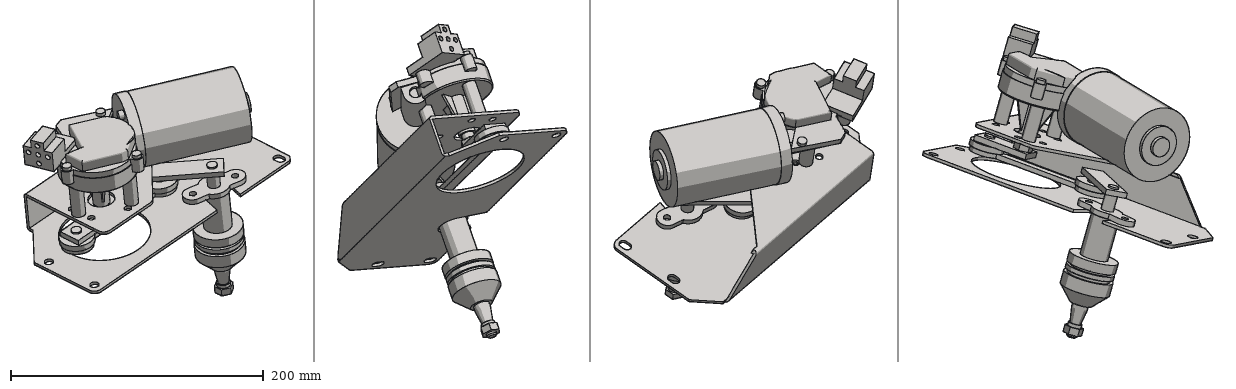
import cadquery as cq
import math


TILT_X, TILT_Y, TILT_Z = -9.8, -15.1, 11.6
INSTALLED_AT = (18.7, 0.7, -2.8)

SHEET = 2.5
BASE_RIGHT = 33.5
BASE_HALF_LENGTH = 113.8
WALL_OUTER = -70.8
WALL_INNER = WALL_OUTER + SHEET
NEAR_END = -83.2
FLANGE_TOP = 33.5
FLANGE_RIGHT = 18.0
FLANGE_CORNER = (FLANGE_RIGHT, -28.0)
WALL_FAR_BOTTOM = 94.0
WALL_FAR_TOP = 61.7
BASE_FAR_CUT_X = -47.5
BASE_NEAR_CUT_X = -33.9
CORNER_RADIUS = 6.5
BEND_RADIUS = 3.0
BEND_STRIP = 4.7
MOUNT_X, MOUNT_Y = 25.0, 106.0
MOUNT_HOLE = 7.2
MOUNT_SLOT = 10.5

GEAR_X, GEAR_Y = -16.5, -51.0
CUTOUT_RADIUS = 36.7
HOUSING_RADIUS = 32.2
HOUSING_BOTTOM = 62.4
LID_BOTTOM = 77.3
LID_TOP = 82.5
COVER_TOP = 92.3
POST_CIRCLE = 25.0
POST_RADIUS = 5.5
POST_ANGLES = (28, 148, 268)
SPARE_HOLE_CIRCLE = 25.7
SPARE_HOLE_OFFSETS = (-19, 28)
SPARE_HOLE = 5.8
HUB_RADIUS = 6.8
HUB_BOTTOM = 30.4
HUB_CLEARANCE_RADIUS = 10.7
RIB_REACH = 19.2
RIB_THICKNESS = 1.9
EAR_CENTRES = ((15.6, -38.3), (-17.0, -84.0), (-49.8, -65.2))
EAR_RADIUS = 5.0
EAR_BOTTOM = 70.0
LID_SCREW = (-46.2, -15.0)
SCREW_RADIUS = 3.7
SCREW_HEIGHT = 3.0

MOTOR_ANGLE = 60.0
MOTOR_SIDE_OFFSET = 19.2
MOTOR_AXIS_HEIGHT = 70.0
MOTOR_RADIUS = 31.3
MOTOR_FRONT = -22.5
MOTOR_REAR = 74.7
CAP_LENGTH = 9.3
CAP_STEP = 0.5
BEARING_SEAT_RADIUS = 16.4
BEARING_SEAT_LENGTH = 3.0
BEARING_RADIUS = 8.0
BEARING_LENGTH = 3.3
CAP_SCREW_X, CAP_SCREW_Y = 8.0, 22.7
CAP_SCREW_HEIGHT = 4.7
WORM_RADIUS = 9.8
WORM_BORE_RADIUS = 4.7
WORM_BORE_DEPTH = 3.5
WORM_END = -71.2

CONNECTOR_CORNER = (-49.3, -99.0)
CONNECTOR_ANGLE = 15.6
CONNECTOR_WIDTH = 26.2
CONNECTOR_BOTTOM = 80.5
CONNECTOR_TOP = 99.0
CONNECTOR_LENGTH = 20.3
KEY_WIDTH = 11.5
KEY_HEIGHT = 7.5
STEP_LENGTH = 38.8
STEP_HEIGHT = 6.5
PIN_SPACING = 8.6
PIN_ROW_DEPTH = 5.4
PIN_RADIUS = 2.0
PIN_DEPTH = 3.5

SPINDLE_X, SPINDLE_Y = 12.4, 44.8
SPINDLE_ANGLE = 75.0
SHAFT_RADIUS = 5.1
TUBE_RADIUS = 11.5
NUT_ACROSS_CORNERS = 15.5
NUT_BOTTOM = -99.5
NUT_TOP = -93.5
NOTCH_WIDTH = 25.7
LUG_OFFSET = 19.6
LUG_RADIUS = 8.5
LUG_HOLE = 5.5
SPINDLE_FLANGE_HEIGHT = 4.5
LEVER_ANGLE = 225.0
LEVER_WIDTH = 18.2
LEVER_LENGTH = 51.5
LEVER_BOTTOM = 18.5
LEVER_TOP = 23.0
CRANK_RADIUS = 30.1
CRANK_WIDTH = 20.0
CRANK_BOTTOM = 14.7
CRANK_TOP = 19.5
CRANK_OVERHANG = 8.5
CRANK_NUT_HEIGHT = 5.5
PIN_HEAD_RADIUS = 4.2
PIN_HEAD_HEIGHT = 1.5
BALL_CUP_RADIUS = 14.2
BALL_CUP_STEP = 1.2
BALL_CUP_BOTTOM = 9.8
LINK_WIDTH = 10.5
LINK_BOTTOM = 5.8


def polar(centre, radius, angle):
    """Point at a radius and angle (degrees) from a centre."""
    a = math.radians(angle)
    return (centre[0] + radius * math.cos(a), centre[1] + radius * math.sin(a))


def heading(start, end):
    """Direction in degrees from one point to another."""
    return math.degrees(math.atan2(end[1] - start[1], end[0] - start[0]))


def rod(centre, radius, bottom, top):
    """Upright cylinder between two heights."""
    return cq.Workplane("XY", origin=(*centre, bottom)).circle(radius).extrude(top - bottom)


def hexagon(centre, across_corners, bottom, top):
    """Upright hexagonal prism between two heights."""
    return cq.Workplane("XY", origin=(*centre, bottom)).polygon(6, across_corners).extrude(top - bottom)


def plate(points, bottom, top):
    """Upright prism over a closed polygon."""
    return cq.Workplane("XY", origin=(0, 0, bottom)).polyline(points).close().extrude(top - bottom)


def bar(start, length, width, angle, bottom, top, overhang):
    """Flat bar from a pivot to a point at the given length and angle, with square overhanging ends."""
    shape = cq.Workplane("XY").box(length + 2 * overhang, width, top - bottom, centered=(False, True, False))
    shape = shape.translate((-overhang, 0, 0)).rotate((0, 0, 0), (0, 0, 1), angle)
    return shape.translate((*start, bottom))


GEAR = (GEAR_X, GEAR_Y)
SPINDLE = (SPINDLE_X, SPINDLE_Y)
CRANK_PIN = polar(GEAR, CRANK_RADIUS, -90)
LEVER_OVERHANG = LEVER_WIDTH / 2
LEVER_PIN = polar(SPINDLE, LEVER_LENGTH - LEVER_OVERHANG, LEVER_ANGLE)


def bracket_base():
    far_cut = WALL_FAR_BOTTOM + SHEET
    near_cut_x = BASE_NEAR_CUT_X - (BASE_HALF_LENGTH + NEAR_END)
    outline = [
        (BASE_RIGHT, -BASE_HALF_LENGTH),
        (BASE_RIGHT, BASE_HALF_LENGTH),
        (BASE_FAR_CUT_X, BASE_HALF_LENGTH),
        (WALL_INNER, far_cut),
        (WALL_INNER, NEAR_END),
        (near_cut_x, NEAR_END),
        (BASE_NEAR_CUT_X, -BASE_HALF_LENGTH),
    ]
    base = plate(outline, -SHEET, 0).edges("|Z and >X").fillet(CORNER_RADIUS)
    top = base.faces(">Z").workplane(origin=(0, 0, 0))
    base = top.pushPoints([(MOUNT_X, -MOUNT_Y), (-MOUNT_X, -MOUNT_Y)]).hole(MOUNT_HOLE)
    top = base.faces(">Z").workplane(origin=(0, 0, 0))
    base = top.pushPoints([(MOUNT_X, MOUNT_Y), (-MOUNT_X, MOUNT_Y)]).slot2D(MOUNT_SLOT, MOUNT_HOLE).cutThruAll()
    return base.cut(rod(GEAR, CUTOUT_RADIUS, -SHEET, 0))


def bracket_bend():
    """C-shaped bent strip along the left side, its far end cut back at a slant."""
    length = WALL_FAR_BOTTOM - NEAR_END
    height = FLANGE_TOP + SHEET
    outer = cq.Workplane("XY").box(BEND_STRIP, length, height, centered=False).edges("|Y and <X").fillet(BEND_RADIUS)
    inner = cq.Workplane("XY", origin=(SHEET, 0, SHEET)).box(
        BEND_STRIP, length, height - 2 * SHEET, centered=False
    )
    strip = outer.cut(inner).translate((WALL_OUTER, NEAR_END, -SHEET))
    slant = [(WALL_FAR_BOTTOM, -SHEET), (WALL_FAR_TOP, FLANGE_TOP), (WALL_FAR_BOTTOM, FLANGE_TOP)]
    waste = cq.Workplane("YZ", origin=(WALL_OUTER, 0, 0)).polyline(slant).close().extrude(BEND_STRIP)
    return strip.cut(waste)


def bracket_flange():
    bend_end = WALL_OUTER + BEND_STRIP
    outline = [
        (bend_end, NEAR_END),
        (FLANGE_RIGHT, NEAR_END),
        FLANGE_CORNER,
        (bend_end, WALL_FAR_TOP - BEND_STRIP),
    ]
    flange = plate(outline, FLANGE_TOP - SHEET, FLANGE_TOP)
    flange = flange.edges("|Z and >X").fillet(CORNER_RADIUS)
    flange = flange.cut(rod(GEAR, HUB_CLEARANCE_RADIUS, FLANGE_TOP - SHEET, FLANGE_TOP))
    for post in POST_ANGLES:
        for offset in SPARE_HOLE_OFFSETS:
            centre = polar(GEAR, SPARE_HOLE_CIRCLE, post + offset)
            flange = flange.cut(rod(centre, SPARE_HOLE / 2, FLANGE_TOP - SHEET, FLANGE_TOP))
    return flange


def bracket():
    return bracket_base().union(bracket_flange()).union(bracket_bend())


def spindle_notch():
    """Open-ended slot that lets the spindle tube through the edge of the base."""
    reach = 2 * (BASE_RIGHT - SPINDLE_X)
    slot = bar(SPINDLE, reach, NOTCH_WIDTH, SPINDLE_ANGLE - 90, -SHEET, 0, 0)
    return slot.union(rod(SPINDLE, NOTCH_WIDTH / 2, -SHEET, 0))


def gear_ribs():
    """Triangular webs between the hub and the underside of the housing, midway between the posts."""
    rib_bottom = HUB_BOTTOM + 4.7
    profile = [(0, rib_bottom), (HUB_RADIUS, rib_bottom), (RIB_REACH, HOUSING_BOTTOM), (0, HOUSING_BOTTOM)]
    web = cq.Workplane("XZ").polyline(profile).close().extrude(RIB_THICKNESS / 2, both=True)
    ribs = cq.Workplane("XY")
    for post in POST_ANGLES:
        ribs = ribs.union(web.rotate((0, 0, 0), (0, 0, 1), post + 60).translate((*GEAR, 0)))
    return ribs


def gear_cover():
    """Raised flat cover on the lid, with a rounded top edge."""
    cover = (
        cq.Workplane("XY", origin=(0, 0, LID_TOP))
        .moveTo(-32.2, -23.4)
        .threePointArc((-16.0, -18.2), (1.6, -25.0))
        .lineTo(13.3, -45.3)
        .lineTo(12.1, -50.5)
        .lineTo(-4.2, -79.5)
        .lineTo(-22.5, -79.5)
        .lineTo(-18.7, -65.2)
        .lineTo(-23.0, -62.8)
        .lineTo(-47.5, -49.5)
        .close()
        .extrude(COVER_TOP - LID_TOP)
    )
    return cover.faces(">Z").edges().fillet(2.0)


def gearbox():
    body = rod(GEAR, HOUSING_RADIUS, HOUSING_BOTTOM, LID_BOTTOM)
    body = body.faces("<Z").edges().chamfer(1.2)
    body = body.union(rod(GEAR, HOUSING_RADIUS - 0.7, LID_BOTTOM, LID_TOP))
    worm_lid = [(-44.0, -4.0), (-66.0, -40.0), (-63.8, -48.1), (-46.7, -56.0), GEAR]
    body = body.union(plate(worm_lid, LID_BOTTOM, LID_TOP))
    body = body.union(gear_cover())
    body = body.union(rod(GEAR, HUB_RADIUS, HUB_BOTTOM, HOUSING_BOTTOM)).union(gear_ribs())
    for angle in POST_ANGLES:
        body = body.union(rod(polar(GEAR, POST_CIRCLE, angle), POST_RADIUS, FLANGE_TOP, HOUSING_BOTTOM + 2.3))
    for centre in EAR_CENTRES:
        reach = math.dist(centre, GEAR)
        body = body.union(bar(centre, reach, 2 * EAR_RADIUS, heading(centre, GEAR), EAR_BOTTOM, LID_TOP, 0))
        body = body.union(rod(centre, EAR_RADIUS, EAR_BOTTOM, LID_TOP))
    for centre in EAR_CENTRES + (LID_SCREW,):
        body = body.union(rod(centre, SCREW_RADIUS, LID_TOP, LID_TOP + SCREW_HEIGHT))
    return body


def motor_section(along):
    """Plane across the motor axis facing the gearbox: local X sideways towards +X, local Y up."""
    axis_start = polar((0, 0), MOTOR_SIDE_OFFSET, MOTOR_ANGLE + 90)
    origin = polar(axis_start, along, MOTOR_ANGLE)
    sideways = polar((0, 0), 1, MOTOR_ANGLE - 90)
    towards_gearbox = polar((0, 0), 1, MOTOR_ANGLE + 180)
    return cq.Workplane(cq.Plane((*origin, MOTOR_AXIS_HEIGHT), (*sideways, 0), (*towards_gearbox, 0)))


def motor_disc(radius, front, rear):
    """Cylinder on the motor axis."""
    return motor_section(rear).circle(radius).extrude(rear - front)


def motor():
    cap_rear = MOTOR_FRONT + CAP_LENGTH
    body = motor_disc(MOTOR_RADIUS - CAP_STEP, cap_rear, MOTOR_REAR)
    body = body.union(motor_disc(MOTOR_RADIUS, MOTOR_FRONT, cap_rear))
    seat_rear = MOTOR_REAR + BEARING_SEAT_LENGTH
    body = body.union(motor_disc(BEARING_SEAT_RADIUS, MOTOR_REAR, seat_rear))
    body = body.union(motor_disc(BEARING_RADIUS, seat_rear, seat_rear + BEARING_LENGTH))
    screws = motor_section(MOTOR_FRONT).pushPoints([(CAP_SCREW_X, CAP_SCREW_Y), (CAP_SCREW_X, -CAP_SCREW_Y)])
    return body.union(screws.circle(SCREW_RADIUS).extrude(CAP_SCREW_HEIGHT))


def worm_housing():
    """Round-bottomed tunnel for the worm, bored at its end, running up to the gearbox lid."""
    length = MOTOR_FRONT - WORM_END
    body = motor_disc(WORM_RADIUS, WORM_END, MOTOR_FRONT)
    rise = LID_BOTTOM - MOTOR_AXIS_HEIGHT
    upper = motor_section(MOTOR_FRONT).center(0, rise / 2).rect(2 * WORM_RADIUS, rise).extrude(length)
    return body.union(upper).cut(motor_disc(WORM_BORE_RADIUS, WORM_END, WORM_END + WORM_BORE_DEPTH))


def connector():
    """Plug socket: its mating face lies in the local XZ plane with the lower left corner at the origin."""
    height = CONNECTOR_TOP - CONNECTOR_BOTTOM
    key_left = (CONNECTOR_WIDTH - KEY_WIDTH) / 2

    def block(left, width, length, tall):
        return cq.Workplane("XY").box(width, length, tall, centered=False).translate((left, 0, 0))

    body = block(0, CONNECTOR_WIDTH, CONNECTOR_LENGTH, height)
    body = body.union(block(0, CONNECTOR_WIDTH, STEP_LENGTH, STEP_HEIGHT))
    body = body.union(block(key_left, KEY_WIDTH, CONNECTOR_LENGTH, height + KEY_HEIGHT))
    row_height = height - PIN_ROW_DEPTH
    for column, row in ((-1, 0), (0, 0), (1, 0), (0, 1), (0, -1)):
        x = CONNECTOR_WIDTH / 2 + column * PIN_SPACING
        z = row_height + row * PIN_SPACING
        body = body.cut(cq.Workplane("XZ", origin=(x, 0, z)).circle(PIN_RADIUS).extrude(-PIN_DEPTH))
    body = body.rotate((0, 0, 0), (0, 0, 1), CONNECTOR_ANGLE)
    return body.translate((*CONNECTOR_CORNER, CONNECTOR_BOTTOM))


def spindle_flange():
    """Two-eared mounting flange of the spindle, resting on the base."""
    ears = [polar(SPINDLE, LUG_OFFSET, SPINDLE_ANGLE + turn) for turn in (0, 180)]
    body = rod(SPINDLE, NOTCH_WIDTH / 2, 0, SPINDLE_FLANGE_HEIGHT)
    body = body.union(bar(ears[1], 2 * LUG_OFFSET, 2 * LUG_RADIUS, SPINDLE_ANGLE, 0, SPINDLE_FLANGE_HEIGHT, 0))
    for ear in ears:
        body = body.union(rod(ear, LUG_RADIUS, 0, SPINDLE_FLANGE_HEIGHT))
    for ear in ears:
        body = body.cut(rod(ear, LUG_HOLE / 2, 0, SPINDLE_FLANGE_HEIGHT))
    return body


def spindle():
    """Turned spindle housing, cap, tapered shaft end and nut, with the pivot shaft above."""
    profile = [
        (0, LEVER_BOTTOM),
        (SHAFT_RADIUS, LEVER_BOTTOM),
        (SHAFT_RADIUS, SPINDLE_FLANGE_HEIGHT),
        (TUBE_RADIUS, SPINDLE_FLANGE_HEIGHT),
        (TUBE_RADIUS, -35.0),
        (20.0, -35.0),
        (20.0, -43.0),
        (16.8, -43.0),
        (16.8, -45.0),
        (19.9, -45.0),
        (19.9, -48.8),
        (17.8, -48.8),
        (17.8, -51.5),
        (20.3, -51.5),
        (20.3, -62.1),
        (9.0, -74.3),
        (6.5, -74.3),
        (6.5, -78.0),
        (4.5, -90.6),
        (5.5, -90.6),
        (5.5, NUT_TOP),
        (4.2, NUT_TOP),
        (4.2, -101.1),
        (3.0, -102.3),
        (0, -102.3),
    ]
    body = cq.Workplane("XZ").polyline(profile).close().revolve(360, (0, 0, 0), (0, 1, 0))
    body = body.translate((*SPINDLE, 0))
    return body.union(hexagon(SPINDLE, NUT_ACROSS_CORNERS, NUT_BOTTOM, NUT_TOP))


def linkage():
    """Motor crank, connecting link and spindle lever."""
    body = bar(GEAR, CRANK_RADIUS, CRANK_WIDTH, -90, CRANK_BOTTOM, CRANK_TOP, CRANK_OVERHANG)
    body = body.union(rod(GEAR, SHAFT_RADIUS, CRANK_BOTTOM, HUB_BOTTOM))
    body = body.union(hexagon(GEAR, NUT_ACROSS_CORNERS, CRANK_TOP, CRANK_TOP + CRANK_NUT_HEIGHT))
    body = body.union(rod(CRANK_PIN, PIN_HEAD_RADIUS, CRANK_TOP, CRANK_TOP + PIN_HEAD_HEIGHT))
    link_length = math.dist(CRANK_PIN, LEVER_PIN)
    link_angle = heading(CRANK_PIN, LEVER_PIN)
    body = body.union(bar(CRANK_PIN, link_length, LINK_WIDTH, link_angle, LINK_BOTTOM, BALL_CUP_BOTTOM, 0))
    for pin in (CRANK_PIN, LEVER_PIN):
        body = body.union(rod(pin, BALL_CUP_RADIUS, BALL_CUP_BOTTOM, CRANK_BOTTOM))
        body = body.union(rod(pin, BALL_CUP_RADIUS - BALL_CUP_STEP, LINK_BOTTOM, BALL_CUP_BOTTOM))
    body = body.union(rod(LEVER_PIN, SHAFT_RADIUS, CRANK_BOTTOM, LEVER_BOTTOM))
    lever_reach = math.dist(SPINDLE, LEVER_PIN)
    body = body.union(bar(SPINDLE, lever_reach, LEVER_WIDTH, LEVER_ANGLE, LEVER_BOTTOM, LEVER_TOP, LEVER_OVERHANG))
    return body.union(rod(SPINDLE, PIN_HEAD_RADIUS, LEVER_TOP, LEVER_TOP + PIN_HEAD_HEIGHT))


assembly = bracket().cut(spindle_notch())
for component in (gearbox(), motor(), worm_housing(), connector(), spindle_flange(), spindle(), linkage()):
    assembly = assembly.union(component)

for axis, angle in (((1, 0, 0), TILT_X), ((0, 1, 0), TILT_Y), ((0, 0, 1), TILT_Z)):
    assembly = assembly.rotate((0, 0, 0), axis, angle)
result = assembly.translate(INSTALLED_AT)